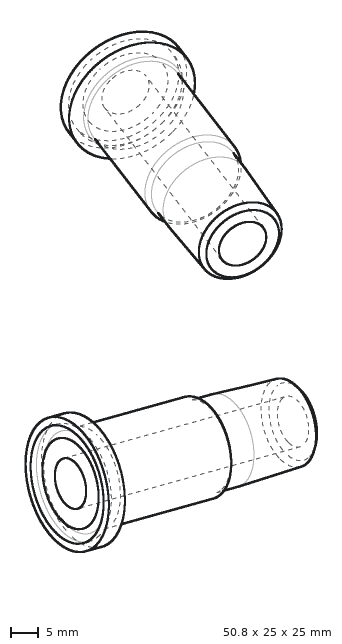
import cadquery as cq
import math

length = 50.8

flange_radius = 25.0 / 2
flange_rim = 3.6
flange_back_angle = math.radians(20)
neck_fillet = 0.75

body_radius = 19.05 / 2
body_end = 29.55
spigot_radius = 17.3 / 2
spigot_start = 30.5
taper_start = 35.5
tip_radius = 8.25
tip_chamfer = 1.0
tip_chamfer_start = length - tip_chamfer

bore_radius = 9.4 / 2

land_depth = 0.75
land_radius = 8.45
groove_outer_radius = 21.9 / 2
groove_fillet = 0.8
flank_angle = math.radians(45)


def arc_point(centre, radius, angle):
    """Point on a circle in the (axial, radial) half plane; the angle starts at the axial direction."""
    return (centre[0] + radius * math.cos(angle), centre[1] + radius * math.sin(angle))


def outer_body():
    """Solid of revolution bounded by the outside of the fitting."""
    neck_angle = math.pi + flange_back_angle
    neck_start_radius = body_radius + neck_fillet * (1 + math.sin(neck_angle))
    neck_start_x = flange_rim + (flange_radius - neck_start_radius) * math.tan(flange_back_angle)
    neck_centre = (neck_start_x - neck_fillet * math.cos(neck_angle), body_radius + neck_fillet)
    neck_middle = arc_point(neck_centre, neck_fillet, (neck_angle + 1.5 * math.pi) / 2)

    axial_tangents = [(1, 0), (1, 0)]

    profile = (
        cq.Workplane("XY")
        .lineTo(0, flange_radius)
        .lineTo(flange_rim, flange_radius)
        .lineTo(neck_start_x, neck_start_radius)
        .threePointArc(neck_middle, (neck_centre[0], body_radius))
        .lineTo(body_end, body_radius)
        .spline([(spigot_start, spigot_radius)], tangents=axial_tangents, includeCurrent=True)
        .lineTo(taper_start, spigot_radius)
        .spline([(tip_chamfer_start, tip_radius)], tangents=axial_tangents, includeCurrent=True)
        .lineTo(length, tip_radius - tip_chamfer)
        .lineTo(length, 0)
        .close()
    )
    return profile.revolve(360, (0, 0, 0), (1, 0, 0))


def gasket_seat():
    """Ring-shaped cutter for the recessed land and the rounded groove around it."""
    groove_centre_radius = groove_outer_radius - groove_fillet
    flank_end_radius = groove_centre_radius - groove_fillet * math.sin(flank_angle)
    flank_end_x = land_depth + (flank_end_radius - land_radius) * math.tan(flank_angle)
    groove_centre = (flank_end_x - groove_fillet * math.cos(flank_angle), groove_centre_radius)
    groove_middle = arc_point(groove_centre, groove_fillet, (math.pi / 2 - flank_angle) / 2)

    profile = (
        cq.Workplane("XY")
        .lineTo(land_depth, 0)
        .lineTo(land_depth, land_radius)
        .lineTo(flank_end_x, flank_end_radius)
        .threePointArc(groove_middle, (groove_centre[0], groove_outer_radius))
        .lineTo(0, groove_outer_radius)
        .close()
    )
    return profile.revolve(360, (0, 0, 0), (1, 0, 0))


def bore():
    """Straight hole along the full length."""
    return cq.Workplane("YZ").circle(bore_radius).extrude(length)


result = outer_body().cut(gasket_seat()).cut(bore())